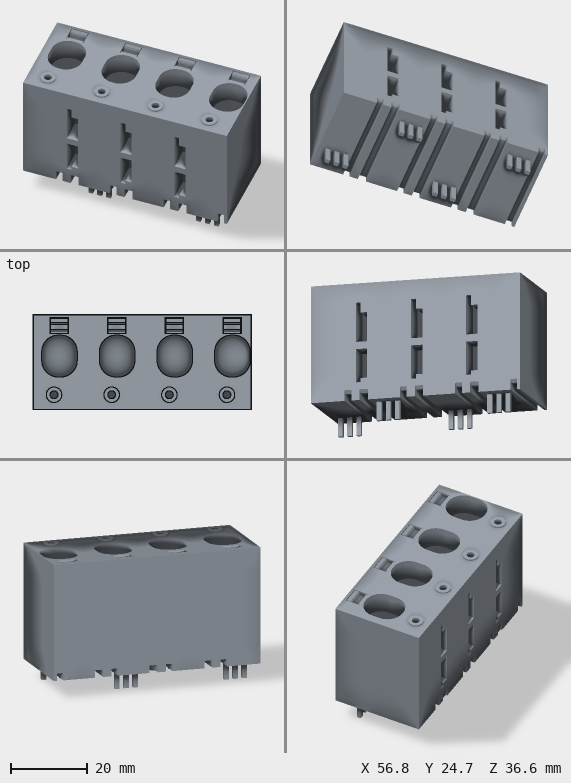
import cadquery as cq

pole_count = 4
pole_pitch = 15.0

housing_length = 56.8
housing_width = 24.7
housing_height = 31.2

entry_x = 6.9
entry_y = 13.9
entry_length = 9.25
entry_width = 10.9
entry_corner_radius = 4.4
entry_depth = 6.0

test_x = 5.45
test_y = 3.85
ring_diameter = 4.05
ring_height = 0.4
test_hole_diameter = 2.05
test_hole_depth = 6.0

pocket_x = 4.4
pocket_y = 19.8
pocket_length = 4.8
pocket_width = 4.1
pocket_depth = 6.0
lever_gap = 0.15

groove_front_lip = 0.55
groove_front_floor = 1.0
groove_back_floor = 2.3
groove_back_lip = 2.85
groove_depth = 0.9

slot_left = 12.2
slot_step = 13.5
slot_right = 15.3
slot_depth = 6.0
upper_slot_bottom = 15.55
upper_slot_shoulder = 23.35
upper_slot_top = 26.0
lower_slot_bottom = 4.75
lower_slot_shoulder = 5.85
lower_slot_top = 13.65

notch_height = 2.0
notch_lead_in = 0.85
narrow_notch_left = 9.2
narrow_notch_width = 1.8
wide_notch_left = 13.3
wide_notch_width = 2.2

pin_columns = 3
pin_column_pitch = 2.5
first_pin_x = 2.55
front_row_y = 3.8
back_row_y = 18.8
pin_size_x = 1.25
pin_size_y = 1.1
pin_length = 5.0
bar_thickness = 1.0

bar_length = (pin_columns - 1) * pin_column_pitch + pin_size_x
bar_x = first_pin_x - pin_size_x / 2


def box_from_corner(x, y, z, length, width, height):
    """Box whose lowest corner is at (x, y, z)."""
    return cq.Workplane("XY").box(length, width, height, centered=False).translate((x, y, z))


def upright_cylinder(x, y, z, diameter, height):
    return cq.Workplane("XY").circle(diameter / 2).extrude(height).translate((x, y, z))


def contact_bar(offset, row_y):
    return box_from_corner(bar_x + offset, row_y - pin_size_y / 2, 0, bar_length, pin_size_y, bar_thickness)


def wire_entry(offset):
    floor = housing_height - entry_depth
    blank = cq.Workplane("XY").rect(entry_length, entry_width).extrude(entry_depth)
    rounded = blank.edges("|Z").fillet(entry_corner_radius)
    return rounded.translate((entry_x + offset, entry_y, floor))


def lever_pocket(offset):
    floor = housing_height - pocket_depth
    return box_from_corner(pocket_x + offset, pocket_y, floor, pocket_length, pocket_width, pocket_depth)


def test_ring(offset):
    return upright_cylinder(test_x + offset, test_y, housing_height, ring_diameter, ring_height)


def test_hole(offset):
    floor = housing_height + ring_height - test_hole_depth
    return upright_cylinder(test_x + offset, test_y, floor, test_hole_diameter, test_hole_depth)


def stepped_slot(offset, straight_end, shoulder, step_end):
    """Slot that is full width up to its shoulder and narrow from there to its step end."""
    outline = [
        (slot_left, straight_end),
        (slot_right, straight_end),
        (slot_right, shoulder),
        (slot_step, shoulder),
        (slot_step, step_end),
        (slot_left, step_end),
    ]
    slot = cq.Workplane("XZ").polyline(outline).close().extrude(-slot_depth)
    return slot.translate((offset, 0, 0))


def bottom_notch(left, width):
    """Notch through the whole width, its ceiling sloping up to the front face."""
    profile = [
        (0, 0),
        (housing_width, 0),
        (housing_width, notch_height),
        (notch_lead_in, notch_height),
        (0, notch_height + notch_lead_in),
    ]
    return cq.Workplane("YZ").polyline(profile).close().extrude(width).translate((left, 0, 0))


def make_housing(offsets, rows):
    housing = box_from_corner(0, 0, 0, housing_length, housing_width, housing_height)
    for offset in offsets:
        housing = housing.union(test_ring(offset)).cut(test_hole(offset))
        housing = housing.cut(wire_entry(offset)).cut(lever_pocket(offset))
        housing = housing.cut(bottom_notch(narrow_notch_left + offset, narrow_notch_width))
    for offset, row_y in zip(offsets, rows):
        housing = housing.cut(contact_bar(offset, row_y))
    for offset in offsets[:-1]:
        housing = housing.cut(stepped_slot(offset, upper_slot_bottom, upper_slot_shoulder, upper_slot_top))
        housing = housing.cut(stepped_slot(offset, lower_slot_top, lower_slot_shoulder, lower_slot_bottom))
        housing = housing.cut(bottom_notch(wide_notch_left + offset, wide_notch_width))
    return housing


def make_lever(offset):
    """Lever standing on the pocket floor, flush with the housing top."""
    lever_width = pocket_width - lever_gap
    groove_floor = pocket_depth - groove_depth
    profile = [
        (0, 0),
        (lever_width, 0),
        (lever_width, pocket_depth),
        (groove_back_lip, pocket_depth),
        (groove_back_floor, groove_floor),
        (groove_front_floor, groove_floor),
        (groove_front_lip, pocket_depth),
        (0, pocket_depth),
    ]
    lever = cq.Workplane("YZ").polyline(profile).close().extrude(pocket_length - 2 * lever_gap)
    return lever.translate((pocket_x + lever_gap + offset, pocket_y, housing_height - pocket_depth))


def make_contact(offset, row_y):
    contact = contact_bar(offset, row_y)
    for column in range(pin_columns):
        x = bar_x + offset + column * pin_column_pitch
        y = row_y - pin_size_y / 2
        contact = contact.union(box_from_corner(x, y, -pin_length, pin_size_x, pin_size_y, pin_length))
    return contact


pole_offsets = [pole * pole_pitch for pole in range(pole_count)]
pole_rows = [front_row_y if pole % 2 else back_row_y for pole in range(pole_count)]

housing = make_housing(pole_offsets, pole_rows)
levers = [make_lever(offset) for offset in pole_offsets]
contacts = [make_contact(offset, row_y) for offset, row_y in zip(pole_offsets, pole_rows)]

result = cq.Compound.makeCompound(
    [housing.val()] + [lever.val() for lever in levers] + [contact.val() for contact in contacts]
)